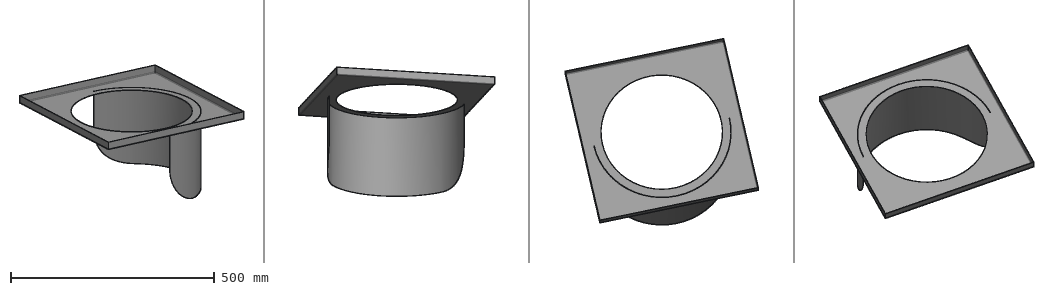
import cadquery as cq

tray_side = 400.0
rim_height = 20.0
sheet = 1.0
bend_outer_radius = 2.0
bend_inner_radius = bend_outer_radius - sheet
opening_diameter = 298.5

skirt_inner_radius = 170.0
skirt_radius = skirt_inner_radius + sheet
skirt_height = 200.0
skirt_corner_radius = skirt_height / 2


def bent_block(side, floor_z, bend_radius):
    """Square block from floor_z up to the rim, rounded along its bottom edges."""
    block = cq.Workplane("XY").workplane(offset=floor_z).rect(side, side).extrude(rim_height - floor_z)
    return block.faces("<Z").edges().fillet(bend_radius)


def make_tray():
    """Thin open-topped tray with a large round opening in its floor."""
    outside = bent_block(tray_side, 0, bend_outer_radius)
    inside = bent_block(tray_side - 2 * sheet, sheet, bend_inner_radius)
    opening = cq.Workplane("XY").circle(opening_diameter / 2).extrude(rim_height)
    return outside.cut(inside).cut(opening)


def make_skirt():
    """Thin half cylinder on the +Y side, its two free lower corners rounded."""
    tube = (
        cq.Workplane("XY")
        .circle(skirt_radius)
        .circle(skirt_inner_radius)
        .extrude(-skirt_height)
    )
    side_profile = (
        cq.Workplane("XY")
        .box(2 * skirt_radius, skirt_radius, skirt_height, centered=(True, False, False))
        .translate((0, 0, -skirt_height))
        .edges("<Y and <Z")
        .fillet(skirt_corner_radius)
    )
    return tube.intersect(side_profile)


tray = make_tray()
skirt = make_skirt()
result = cq.Compound.makeCompound([tray.val(), skirt.val()])